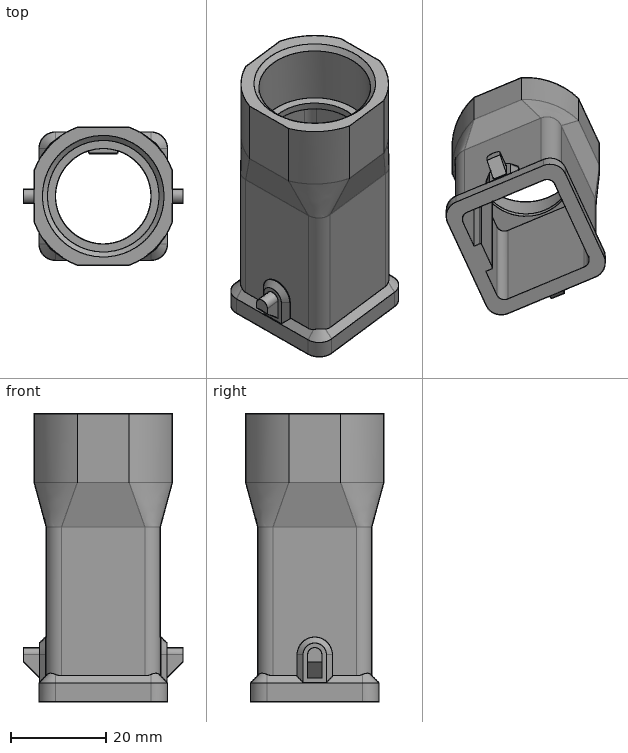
import cadquery as cq
import math

base_top = 4.0
taper_bottom = 36.7
head_bottom = 46.0
total_height = 60.5

base_width = 27.0
base_corner_radius = 3.5
base_slope = 2.5

body_width = 24.0
body_corner_radius = 3.25

head_width = 29.0
head_flat_width = 10.9

entry_diameter = 23.4
entry_depth = 14.0
entry_chamfer = 1.05
passage_diameter = 20.0
ring_thickness = 1.6
cavity_top = total_height - entry_depth - ring_thickness
wall_thickness = 1.5

rib_width = 6.1
rib_face_y = 8.9
rib_edge_chamfer = 0.2

boss_face_x = 13.4
boss_radius = 3.7
boss_chamfer = 1.25
boss_bottom = base_top / 2
peg_axis_z = 9.9
peg_radius = 1.5
peg_span = 33.5
peg_end_x = peg_span / 2
peg_end_bottom = 8.4


def ring_of_flats_and_arcs(plane, half_width, half_flat, arc_mid):
    """Closed outline of four flats joined by corner arcs with middles at (+-arc_mid, +-arc_mid)."""
    outline = plane.moveTo(half_width, -half_flat)
    for cosine, sine in [(1, 0), (0, 1), (-1, 0), (0, -1)]:

        def turned(x, y):
            return (cosine * x - sine * y, sine * x + cosine * y)

        outline = outline.lineTo(*turned(half_width, half_flat))
        outline = outline.threePointArc(turned(arc_mid, arc_mid), turned(half_flat, half_width))
    return outline.close()


def body_outline(plane, inset=0):
    half_width = body_width / 2 - inset
    half_flat = body_width / 2 - body_corner_radius
    arc_mid = half_flat + (body_corner_radius - inset) / math.sqrt(2)
    return ring_of_flats_and_arcs(plane, half_width, half_flat, arc_mid)


def head_outline(plane):
    half_width = head_width / 2
    half_flat = head_flat_width / 2
    arc_mid = math.hypot(half_width, half_flat) / math.sqrt(2)
    return ring_of_flats_and_arcs(plane, half_width, half_flat, arc_mid)


def make_base():
    block = cq.Workplane("XY").rect(base_width, base_width).extrude(base_top + base_slope)
    return block.edges("|Z").fillet(base_corner_radius).faces(">Z").chamfer(base_slope)


def make_shell_outside():
    body = body_outline(cq.Workplane("XY")).extrude(taper_bottom)
    taper_start = body_outline(cq.Workplane("XY", origin=(0, 0, taper_bottom)))
    taper = head_outline(taper_start.workplane(offset=head_bottom - taper_bottom)).loft(ruled=True)
    head = head_outline(cq.Workplane("XY", origin=(0, 0, head_bottom))).extrude(total_height - head_bottom)
    return body.union(taper).union(head)


def arched_outline(plane, radius):
    """Upright outline, flat at the boss bottom and round about the peg axis at the top."""
    return (
        plane.moveTo(-radius, boss_bottom)
        .lineTo(radius, boss_bottom)
        .lineTo(radius, peg_axis_z)
        .threePointArc((0, peg_axis_z + radius), (-radius, peg_axis_z))
        .close()
    )


def make_boss_and_peg():
    """Boss and peg for the +X side; the underside of the peg slopes at 45 degrees."""
    root_x = body_width / 2 - wall_thickness / 2
    root_plane = cq.Workplane("YZ", origin=(root_x, 0, 0))
    boss = arched_outline(root_plane, boss_radius).extrude(boss_face_x - root_x)
    boss = boss.faces(">X").edges("not <Z").chamfer(boss_chamfer)

    peg = arched_outline(root_plane, peg_radius).extrude(peg_end_x - root_x)
    slope_run = peg_end_bottom - boss_bottom
    underside = (
        cq.Workplane("XZ")
        .moveTo(peg_end_x, boss_bottom)
        .lineTo(peg_end_x, peg_end_bottom)
        .lineTo(peg_end_x - slope_run, boss_bottom)
        .close()
        .extrude(boss_radius, both=True)
    )
    return boss.union(peg.cut(underside))


def make_bore():
    """Everything hollow, as a solid of revolution for the round part plus the square cavity."""
    entry_radius = entry_diameter / 2
    passage_radius = passage_diameter / 2
    entry_floor = total_height - entry_depth
    round_bore = (
        cq.Workplane("XZ")
        .moveTo(0, 0)
        .lineTo(passage_radius, 0)
        .lineTo(passage_radius, entry_floor)
        .lineTo(entry_radius, entry_floor)
        .lineTo(entry_radius, total_height - entry_chamfer)
        .lineTo(entry_radius + entry_chamfer, total_height)
        .lineTo(0, total_height)
        .close()
        .revolve(360, (0, 0, 0), (0, 1, 0))
    )
    cavity = body_outline(cq.Workplane("XY"), inset=wall_thickness).extrude(cavity_top)
    return round_bore.union(cavity)


def make_rib():
    depth = body_width / 2 - wall_thickness - rib_face_y
    rib = cq.Workplane("XY").box(rib_width, depth, cavity_top, centered=(True, False, False))
    rib = rib.faces("<Y").edges("not <Z").chamfer(rib_edge_chamfer)
    return rib.translate((0, rib_face_y, 0))


boss_and_peg = make_boss_and_peg()
outside = make_shell_outside().union(make_base())
outside = outside.union(boss_and_peg).union(boss_and_peg.mirror("YZ"))
result = outside.cut(make_bore()).union(make_rib())